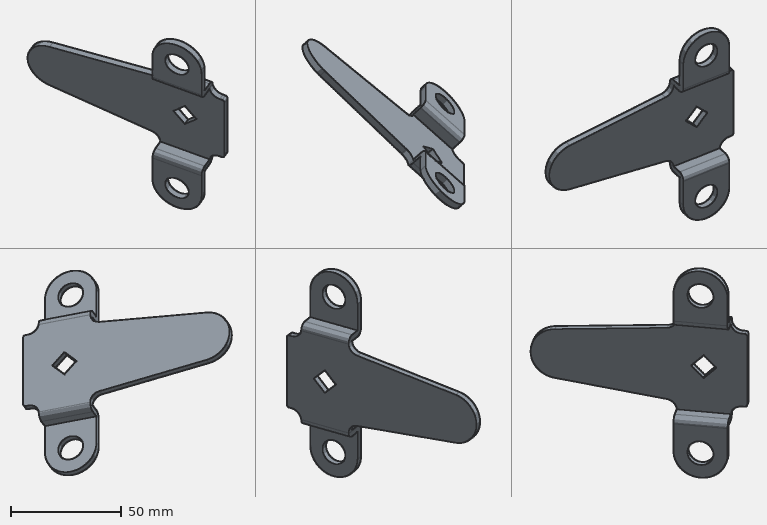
import cadquery as cq
import math

thickness = 3.3
total_depth = 11.2
bend_radius = thickness
wall_outer_z = 26.1
wall_inner_z = wall_outer_z - thickness

total_height = 105.0
total_length = 100.0
ear_radius = 12.5
ear_center_z = total_height / 2 - ear_radius
ear_hole_diameter = 12.0
nose_radius = 12.5
taper_angle = math.radians(6.3)
right_edge_x = 20.0
right_half_height = 18.6
root_fillet = 5.0
corner_fillet = 1.3
square_hole_side = 8.2
margin = 1.0

nose_tip_x = right_edge_x - total_length
nose_center_x = nose_tip_x + nose_radius


def through_sketch():
    """Workplane on the back face (+Y), so extrusions run through to the front."""
    return cq.Workplane("XZ", origin=(0, total_depth, 0))


def plate_outline():
    """Tapered tongue with a round nose, crossed by the two ears."""
    tangent_x = nose_center_x - nose_radius * math.sin(taper_angle)
    tangent_z = nose_radius * math.cos(taper_angle)
    taper_end_z = tangent_z + (-ear_radius - tangent_x) * math.tan(taper_angle)
    outline = (
        through_sketch()
        .moveTo(tangent_x, tangent_z)
        .lineTo(-ear_radius, taper_end_z)
        .lineTo(-ear_radius, ear_center_z)
        .threePointArc((0, total_height / 2), (ear_radius, ear_center_z))
        .lineTo(ear_radius, right_half_height)
        .lineTo(right_edge_x, right_half_height)
        .lineTo(right_edge_x, -right_half_height)
        .lineTo(ear_radius, -right_half_height)
        .lineTo(ear_radius, -ear_center_z)
        .threePointArc((0, -total_height / 2), (-ear_radius, -ear_center_z))
        .lineTo(-ear_radius, -taper_end_z)
        .lineTo(tangent_x, -tangent_z)
        .threePointArc((nose_tip_x, 0), (tangent_x, tangent_z))
        .close()
        .extrude(total_depth)
    )
    root_edges = cq.selectors.BoxSelector(
        (-ear_radius - margin, 0, -wall_inner_z), (ear_radius + margin, total_depth, wall_inner_z)
    )
    outline = outline.edges("|Y").edges(root_edges).fillet(root_fillet)
    return outline.edges("|Y and >X").fillet(corner_fillet)


def bent_sheet():
    """Side profile of the sheet: plate at the back, ears stepped to the front."""
    plate_front_y = total_depth - thickness
    half_height = total_height / 2
    profile = (
        cq.Workplane("YZ", origin=(nose_tip_x, 0, 0))
        .moveTo(total_depth, -wall_outer_z)
        .lineTo(total_depth, wall_outer_z)
        .lineTo(thickness, wall_outer_z)
        .lineTo(thickness, half_height)
        .lineTo(0, half_height)
        .lineTo(0, wall_inner_z)
        .lineTo(plate_front_y, wall_inner_z)
        .lineTo(plate_front_y, -wall_inner_z)
        .lineTo(0, -wall_inner_z)
        .lineTo(0, -half_height)
        .lineTo(thickness, -half_height)
        .lineTo(thickness, -wall_outer_z)
        .close()
        .extrude(total_length)
    )
    bend_zone = cq.selectors.BoxSelector(
        (nose_tip_x, -margin, -wall_outer_z - margin),
        (right_edge_x, total_depth + margin, wall_outer_z + margin),
    )
    outer_bends = profile.edges("|X").edges(bend_zone)
    return outer_bends.edges("<Y or >Y").fillet(bend_radius)


ear_holes = (
    through_sketch()
    .pushPoints([(0, ear_center_z), (0, -ear_center_z)])
    .circle(ear_hole_diameter / 2)
    .extrude(total_depth)
)
square_hole = (
    through_sketch()
    .transformed(rotate=(0, 0, 45))
    .rect(square_hole_side, square_hole_side)
    .extrude(total_depth)
)

result = bent_sheet().intersect(plate_outline()).cut(ear_holes).cut(square_hole)